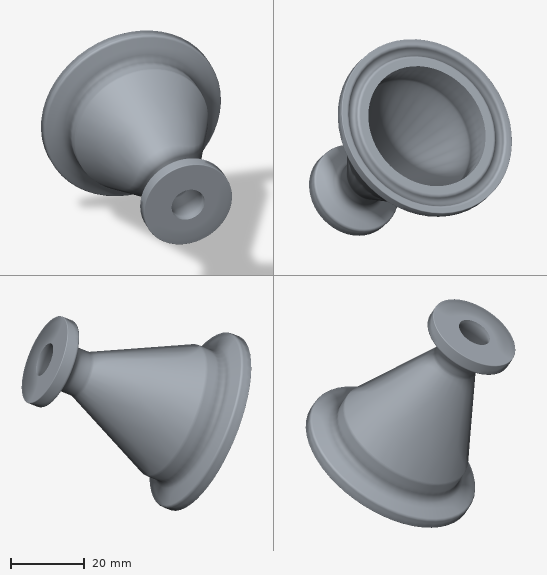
import cadquery as cq
import math

length = 50.0
large_flange_radius = 25.25
small_flange_radius = 12.55
large_tube_radius = 19.05
small_tube_radius = 6.35
wall = 1.65

large_flange_rim = 3.0
small_flange_rim = 3.7
back_slope = math.radians(20)
face_edge_round = 0.2
rim_round = 0.75
neck_round = 1.85

cone_start = 10.4
cone_end = 38.7
bend_round = 1.8

groove_radius = 21.7
groove_half_width = 2.0
groove_depth = 1.6
groove_edge_round = 0.85
groove_wall_angle = math.radians(70)


def rounded_outline(corners):
    """Closed outline through (axial, radial, round radius) corners; radius 0 stays sharp."""
    outline = cq.Workplane("XZ")
    for i, (x, y, radius) in enumerate(corners):
        corner = cq.Vector(x, y)
        before = cq.Vector(*corners[i - 1][:2])
        after = cq.Vector(*corners[(i + 1) % len(corners)][:2])
        to_before = (before - corner).normalized()
        to_after = (after - corner).normalized()
        half_angle = to_before.getAngle(to_after) / 2
        setback = radius / math.tan(half_angle)
        arc_start = corner + to_before * setback
        arc_start_xy = arc_start.toTuple()[:2]
        outline = outline.moveTo(*arc_start_xy) if i == 0 else outline.lineTo(*arc_start_xy)
        if radius > 0:
            bisector = (to_before + to_after).normalized()
            arc_middle = corner + bisector * (radius / math.sin(half_angle) - radius)
            arc_end = corner + to_after * setback
            outline = outline.threePointArc(arc_middle.toTuple()[:2], arc_end.toTuple()[:2])
    return outline.close()


def groove_corners():
    """Corners of the gasket groove, from its inner edge to its outer edge."""
    v_half_width = groove_half_width - groove_edge_round * math.tan(groove_wall_angle / 2)
    v_depth = v_half_width * math.tan(groove_wall_angle)
    bottom_round = (v_depth - groove_depth) / (1 / math.cos(groove_wall_angle) - 1)
    return [
        (0, groove_radius - v_half_width, groove_edge_round),
        (v_depth, groove_radius, bottom_round),
        (0, groove_radius + v_half_width, groove_edge_round),
    ]


def flange_width_at_tube(rim_width, flange_radius, tube_radius):
    """Axial distance from the flange face to where its sloping back meets the tube."""
    return rim_width + (flange_radius - tube_radius) * math.tan(back_slope)


cone_angle = math.atan2(large_tube_radius - small_tube_radius, cone_end - cone_start)
bend_shift = wall * math.tan(cone_angle / 2)
large_bore_radius = large_tube_radius - wall
small_bore_radius = small_tube_radius - wall

large_flange_end = flange_width_at_tube(large_flange_rim, large_flange_radius, large_tube_radius)
small_flange_start = length - flange_width_at_tube(small_flange_rim, small_flange_radius, small_tube_radius)

large_face = [(0, large_bore_radius, 0)] + groove_corners()

outside = [
    (0, large_flange_radius, face_edge_round),
    (large_flange_rim, large_flange_radius, rim_round),
    (large_flange_end, large_tube_radius, neck_round),
    (cone_start, large_tube_radius, bend_round),
    (cone_end, small_tube_radius, bend_round),
    (small_flange_start, small_tube_radius, neck_round),
    (length - small_flange_rim, small_flange_radius, rim_round),
    (length, small_flange_radius, face_edge_round),
]

bore = [
    (length, small_bore_radius, 0),
    (cone_end - bend_shift, small_bore_radius, bend_round),
    (cone_start - bend_shift, large_bore_radius, bend_round),
]

profile = rounded_outline(large_face + outside + bore)
result = profile.revolve(360, (0, 0, 0), (1, 0, 0))